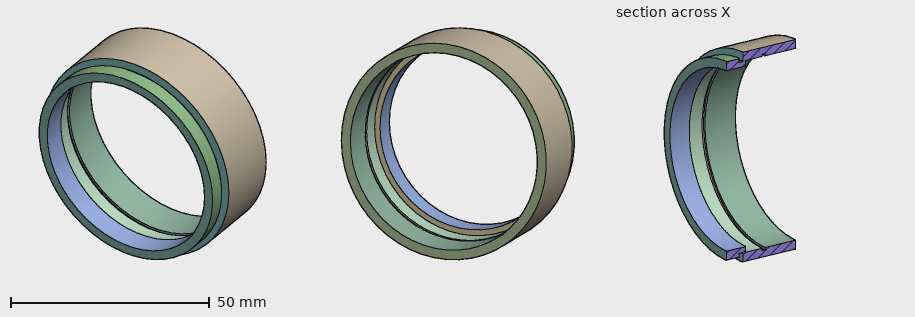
import cadquery as cq

body_diameter = 56.0
total_length = 21.5

lip_diameter = 53.0
lip_length = 4.0
relief_diameter = 51.0
relief_width = 1.0
body_length = total_length - lip_length - relief_width

front_bore_diameter = 48.0
front_bore_length = 6.0
rear_bore_diameter = 51.0
rear_bore_length = total_length - front_bore_length
inner_groove_diameter = 52.2
inner_groove_width = 0.9
inner_groove_start = 11.1

front_y = -total_length / 2


def disc(diameter, start, length):
    """Solid cylinder along +Y that begins `start` behind the front face."""
    plane = cq.Plane(origin=(0, front_y + start, 0), xDir=(1, 0, 0), normal=(0, 1, 0))
    return cq.Workplane(plane).circle(diameter / 2).extrude(length)


def make_outside():
    lip = disc(lip_diameter, 0, lip_length)
    relief = disc(relief_diameter, lip_length, relief_width)
    body = disc(body_diameter, lip_length + relief_width, body_length)
    return lip.union(relief).union(body)


def make_bore():
    front_bore = disc(front_bore_diameter, 0, front_bore_length)
    rear_bore = disc(rear_bore_diameter, front_bore_length, rear_bore_length)
    inner_groove = disc(inner_groove_diameter, inner_groove_start, inner_groove_width)
    return front_bore.union(rear_bore).union(inner_groove)


result = make_outside().cut(make_bore())